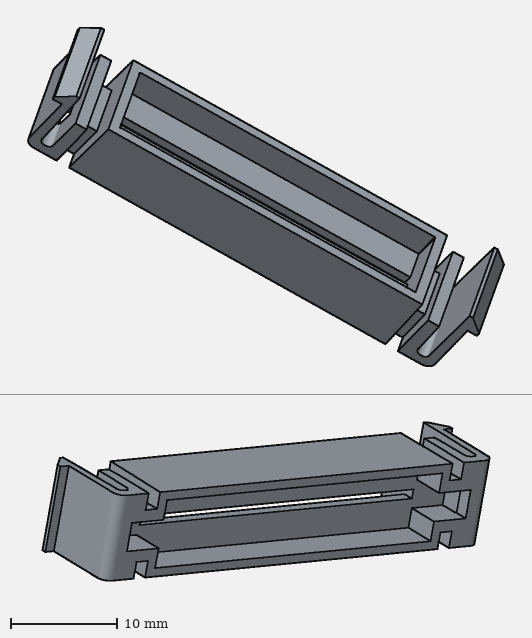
import cadquery as cq
import math

BOX_LENGTH = 34.9
WIDTH = 8.65
BOX_HEIGHT = 8.05
END_WALL = 1.0
SIDE_WALL = 0.9
FLOOR_BACK = 3.52
FLOOR_FRONT = 4.65
DRAFT = 1.0

SLIT_WIDTH = 0.95

NECK_LENGTH = 1.35
NECK_WIDTH = 5.25

CHANNEL_WIDTH = 2.9
CHANNEL_OVERRUN = 2.75

PLATE_THICKNESS = 1.3
PLATE_HEIGHT = 6.35
PLATE_DRAFT_START = 4.65
GAP_WIDTH = 1.25
GAP_BOTTOM = 1.2
GAP_CORNER_RADIUS = 0.55
ARM_THICKNESS = 1.0
BEND_RADIUS = 1.0
HOOK_START = 7.95
HOOK_REACH = 1.0
HOOK_LIP = 0.45
HOOK_TIP_WIDTH = 0.4
HOOK_TOP = 10.0

PITCH = 33.4
ROLL = 20.0

PLATE_IN = BOX_LENGTH / 2 + NECK_LENGTH
PLATE_OUT = PLATE_IN + PLATE_THICKNESS
ARM_IN = PLATE_OUT + GAP_WIDTH
ARM_OUT = ARM_IN + ARM_THICKNESS
HOOK_OUT = ARM_OUT + HOOK_REACH
GAP_MIDDLE = (PLATE_OUT + ARM_IN) / 2


def draft_shift(height):
    """Sideways shift of a drafted face over the given height."""
    return height * math.tan(math.radians(DRAFT))


def centred_block(length, width, bottom, top, taper=0):
    """Block centred in X and Y, narrowing upwards by the taper angle."""
    return (
        cq.Workplane("XY", origin=(0, 0, bottom))
        .rect(length, width)
        .extrude(top - bottom, taper=taper)
    )


def make_box():
    """Box with drafted ends, recessed from both sides, leaving a slit floor between."""
    half_back = BOX_LENGTH / 2
    half_front = half_back - draft_shift(BOX_HEIGHT)
    body = (
        cq.Workplane("XZ", origin=(0, WIDTH / 2, 0))
        .polyline([(-half_back, 0), (half_back, 0), (half_front, BOX_HEIGHT), (-half_front, BOX_HEIGHT)])
        .close()
        .extrude(WIDTH)
    )
    recess_width = WIDTH - 2 * SIDE_WALL
    floor_shrink = 2 * draft_shift(BOX_HEIGHT - FLOOR_FRONT)
    floor_length = 2 * (half_front - END_WALL) - floor_shrink
    back_recess = centred_block(BOX_LENGTH - 2 * END_WALL, recess_width, 0, FLOOR_BACK)
    front_recess = centred_block(floor_length, recess_width - floor_shrink, FLOOR_FRONT, BOX_HEIGHT, -DRAFT)
    slit = centred_block(floor_length, SLIT_WIDTH, 0, BOX_HEIGHT)
    return body.cut(back_recess).cut(front_recess).cut(slit)


def make_neck_bar():
    """Bar with drafted sides whose ends form both necks; the box interior is kept clear of it."""
    bar = centred_block(2 * PLATE_IN + 2 * draft_shift(FLOOR_FRONT), NECK_WIDTH, 0, FLOOR_FRONT, DRAFT)
    return bar.cut(centred_block(BOX_LENGTH - END_WALL, WIDTH, 0, FLOOR_FRONT))


def clip_profile():
    """Side outline of the +X clip, extruded over the full width."""
    gap_side = GAP_BOTTOM + GAP_CORNER_RADIUS
    tip_in = ARM_IN + draft_shift(HOOK_TOP - gap_side)
    return (
        cq.Workplane("XZ", origin=(0, WIDTH / 2, 0))
        .moveTo(PLATE_IN, 0)
        .lineTo(ARM_OUT - BEND_RADIUS, 0)
        .radiusArc((ARM_OUT, BEND_RADIUS), -BEND_RADIUS)
        .lineTo(ARM_OUT, HOOK_START)
        .lineTo(HOOK_OUT, HOOK_START)
        .lineTo(HOOK_OUT, HOOK_START + HOOK_LIP)
        .lineTo(tip_in + HOOK_TIP_WIDTH, HOOK_TOP)
        .lineTo(tip_in, HOOK_TOP)
        .lineTo(ARM_IN, gap_side)
        .radiusArc((ARM_IN - GAP_CORNER_RADIUS, GAP_BOTTOM), GAP_CORNER_RADIUS)
        .lineTo(PLATE_OUT + GAP_CORNER_RADIUS, GAP_BOTTOM)
        .radiusArc((PLATE_OUT, gap_side), GAP_CORNER_RADIUS)
        .lineTo(PLATE_OUT - draft_shift(PLATE_HEIGHT - gap_side), PLATE_HEIGHT)
        .lineTo(PLATE_IN + draft_shift(PLATE_HEIGHT - PLATE_DRAFT_START), PLATE_HEIGHT)
        .lineTo(PLATE_IN, PLATE_DRAFT_START)
        .close()
        .extrude(WIDTH)
    )


def drafted_envelope(x_start, x_end, draft_start, top):
    """Full-width slab whose two sides are drafted above draft_start."""
    half = WIDTH / 2
    half_top = half - draft_shift(top - draft_start)
    right_side = [(half, 0), (half, draft_start), (half_top, top)]
    left_side = [(-y, z) for y, z in reversed(right_side)]
    return (
        cq.Workplane("YZ", origin=(x_start, 0, 0))
        .polyline(right_side + left_side)
        .close()
        .extrude(x_end - x_start)
    )


def make_clip():
    """Hooked U-shaped clip with drafted sides on the plate tip and the hook."""
    plate_envelope = drafted_envelope(PLATE_IN, GAP_MIDDLE, PLATE_DRAFT_START, PLATE_HEIGHT)
    arm_envelope = drafted_envelope(GAP_MIDDLE, HOOK_OUT, HOOK_START, HOOK_TOP)
    return clip_profile().intersect(plate_envelope.union(arm_envelope))


clip = make_clip()
channel = centred_block(BOX_LENGTH + 2 * CHANNEL_OVERRUN, CHANNEL_WIDTH, 0, FLOOR_BACK)
part = make_box().union(make_neck_bar()).union(clip).union(clip.mirror("YZ")).cut(channel)

result = part.rotate((0, 0, 0), (0, 1, 0), PITCH).rotate((0, 0, 0), (1, 0, 0), ROLL)